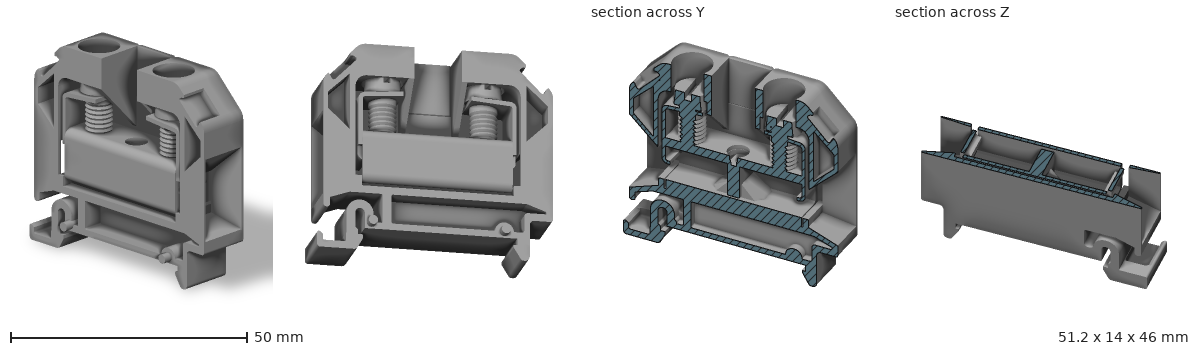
import cadquery as cq
import math


overall_length = 51.2
half_width = 24.95
height = 46.0
depth = 12.0
shoulder_z = 37.9
shoulder_radius = 3.0
foot_end_x = half_width - overall_length
foot_top_z = 3.55
foot_lip_width = 1.25
underside_z = 12.7
beam_bottom_z = 4.8
leg_inner_x = 23.45
leg_bottom_z = 9.05
slope_end_z = 11.2
slope_start_x = 19.2
pin_radius = 2.0 / 2
pin_length = 2.0
pin_z = 6.2
pin_xs = (-14.5, 14.4)
base_recess_depth = 4.8
base_recess_floor_z = 6.25
notch_depth = 6.0

hook_x = -16.95
hook_outer_radius = 2.9
hook_inner_radius = 1.0
hook_center_z = 8.2
hook_top_z = hook_center_z + hook_outer_radius
post_x = -12.05

cavity_half_width = 17.9
cavity_top_z = 38.95
ledge_z = 16.6
floor_z = 14.35
floor_half_width = 16.5
cavity_depth = 10.7
gap_half_width = 5.15
gusset_thickness = 1.2
gusset_foot_z = 27.9
panel_bottom_z = 34.55

screw_x = 10.95
screw_y = 5.25
access_radius = 9.0 / 2
thread_radius = 6.0 / 2
thread_pitch = 1.0
thread_groove = 0.35
head_bottom_z = 36.15
head_top_z = 39.95
slot_bottom_z = 38.1
thread_top_z = 33.7

sleeve_half_length = 16.25
sleeve_front_y = 0.2
sleeve_back_y = 10.45
sleeve_top_z = 27.2
bore_front_y = 1.25
bore_back_y = 9.4
bore_floor_z = 16.65
bore_roof_z = 24.95

strip_thickness = 0.9


def rounded_wire(plane, corners):
    """Closed outline from (u, v, radius) corners; every non-zero radius becomes a tangent arc."""
    stretches = []
    for i, (u, v, radius) in enumerate(corners):
        corner = cq.Vector(u, v)
        before = (cq.Vector(*corners[i - 1][:2]) - corner).normalized()
        after = (cq.Vector(*corners[(i + 1) % len(corners)][:2]) - corner).normalized()
        if radius == 0:
            stretches.append((corner, None, corner))
            continue
        half_angle = before.getAngle(after) / 2
        tangent = radius / math.tan(half_angle)
        nearest = radius / math.sin(half_angle) - radius
        middle = corner + (before + after).normalized() * nearest
        stretches.append((corner + before * tangent, middle, corner + after * tangent))

    tolerance = 5.12e-05
    start = stretches[-1][2]
    path = plane.moveTo(start.x, start.y)
    here = start
    for entry, middle, leave in stretches:
        if (entry - here).Length > tolerance:
            path = path.lineTo(entry.x, entry.y)
        if middle is not None:
            path = path.threePointArc((middle.x, middle.y), (leave.x, leave.y))
        here = leave
    return path.close()


def plate(corners, front, back):
    """Rounded XZ outline filled from y = front to y = back."""
    plane = cq.Workplane("XZ", origin=(0, front, 0))
    return rounded_wire(plane, corners).extrude(front - back)


def block(x_range, y_range, z_range):
    """Axis-aligned box between the given limits."""
    lows, highs = zip(x_range, y_range, z_range)
    sizes = [high - low for low, high in zip(lows, highs)]
    return cq.Workplane("XY").box(*sizes, centered=False).translate(lows)


def both_sides(shape):
    """The shape together with its mirror image across x = 0."""
    return shape.union(shape.mirror("YZ"))


def cylinder(x, y, radius, bottom, top):
    """Upright cylinder."""
    return cq.Workplane("XY", origin=(x, y, bottom)).circle(radius).extrude(top - bottom)


def crosswise_pin(x, radius, front, back):
    """Cylinder along Y at pin height from y = front to y = back."""
    return cq.Workplane("XZ", origin=(x, front, pin_z)).circle(radius).extrude(front - back)


def tetrahedron(*corners):
    """Solid with four triangular faces between four corners."""
    faces = []
    for skipped in corners:
        triangle = [corner for corner in corners if corner != skipped]
        faces.append(cq.Face.makeFromWires(cq.Wire.makePolygon(triangle, close=True)))
    return cq.Workplane(cq.Solid.makeSolid(cq.Shell.makeShell(faces)))


def housing_outline():
    """Outer outline of the housing with its rail hook, beam and right leg."""
    roof_x = half_width - (height - shoulder_z)
    right_leg_x = 19.85
    beam_end_x = 17.15
    toe_x = 16.4
    toe_z = 3.4
    hook_web_z = 7.9
    hook_toe_x = -16.3
    hook_neck_x = -17.4
    return [
        (-half_width, shoulder_z, shoulder_radius),
        (-roof_x, height, shoulder_radius),
        (roof_x, height, shoulder_radius),
        (half_width, shoulder_z, shoulder_radius),
        (half_width, leg_bottom_z, 0.6),
        (right_leg_x, leg_bottom_z, 0.95),
        (right_leg_x, 0, 1.0),
        (18.1, 0, 0.8),
        (toe_x, 2.8, 0.25),
        (toe_x, toe_z, 0),
        (beam_end_x, toe_z, 0),
        (beam_end_x, beam_bottom_z, 0),
        (hook_x + hook_inner_radius, beam_bottom_z, 0),
        (hook_x + hook_inner_radius, hook_center_z + hook_inner_radius, hook_inner_radius),
        (hook_x - hook_inner_radius, hook_center_z + hook_inner_radius, hook_inner_radius),
        (hook_x - hook_inner_radius, 4.9, 0.25),
        (hook_neck_x, 4.45, 0.15),
        (hook_neck_x, toe_z, 0),
        (hook_toe_x, toe_z, 0),
        (hook_toe_x, 2.55, 0.25),
        (-17.7, 0, 1.0),
        (foot_end_x, 0, 0.6),
        (foot_end_x, foot_top_z, 0.4),
        (hook_x - hook_outer_radius, foot_top_z, 0),
        (hook_x - hook_outer_radius, hook_top_z, hook_outer_radius),
        (hook_x + hook_outer_radius, hook_top_z, hook_outer_radius),
        (hook_x + hook_outer_radius, hook_web_z, 0.75),
        (post_x, hook_web_z, 0.75),
        (post_x, underside_z, 0.3),
        (-slope_start_x, underside_z, 0),
        (-leg_inner_x, slope_end_z, 0.2),
        (-leg_inner_x, leg_bottom_z, 0.65),
        (-half_width, leg_bottom_z, 0.65),
    ]


def cavity():
    """Front cavity holding the metal parts, and the gap between the two screw towers."""
    room = plate(
        [
            (-cavity_half_width, ledge_z, 0),
            (-cavity_half_width, cavity_top_z, 2.5),
            (cavity_half_width, cavity_top_z, 2.5),
            (cavity_half_width, ledge_z, 0),
            (floor_half_width, ledge_z, 0),
            (floor_half_width, floor_z, 0),
            (-floor_half_width, floor_z, 0),
            (-floor_half_width, ledge_z, 0),
        ],
        0,
        cavity_depth,
    )
    gap = block((-gap_half_width, gap_half_width), (0, cavity_depth), (gusset_foot_z, height))
    return room.cut(both_sides(gusset())).union(gap)


def gusset():
    """Triangular rib carrying the inner side of the right screw tower."""
    corners = [(0, cavity_top_z), (cavity_depth, cavity_top_z), (cavity_depth, gusset_foot_z)]
    plane = cq.Workplane("YZ", origin=(gap_half_width, 0, 0))
    return plane.polyline(corners).close().extrude(gusset_thickness)


def panel_groove():
    """Groove with a slanted inner flank that frames the rear wall panel between the towers."""
    groove_depth = 0.35
    flank_angle = 40
    top = height + 0.5
    back = cavity_depth + groove_depth
    frame = block((-gap_half_width, gap_half_width), (cavity_depth, back), (panel_bottom_z, height))
    panel = (
        cq.Workplane("XZ", origin=(0, back, (panel_bottom_z + top) / 2))
        .rect(2 * gap_half_width, top - panel_bottom_z)
        .extrude(groove_depth, taper=flank_angle)
    )
    return frame.cut(panel)


def rear_groove():
    """Upright V groove in the rear face along the right edge of the panel."""
    center_x = 5.3
    groove_half_width = 0.6
    groove_depth = 0.5
    corners = [
        (center_x - groove_half_width, depth),
        (center_x, depth - groove_depth),
        (center_x + groove_half_width, depth),
    ]
    plane = cq.Workplane("XY", origin=(0, 0, panel_bottom_z))
    return plane.polyline(corners).close().extrude(height - panel_bottom_z)


def wire_funnel():
    """Tapered wire entry from the left outer face into the cavity."""
    throat_y = (0.9, 9.45)
    throat_z = (14.65, 24.05)
    mouth_y = (0.35, 11.45)
    mouth_z = (12.1, 30.6)

    def section(ys, zs):
        return [(ys[0], zs[0]), (ys[1], zs[0]), (ys[1], zs[1]), (ys[0], zs[1])]

    return (
        cq.Workplane("YZ", origin=(-half_width, 0, 0))
        .polyline(section(mouth_y, mouth_z))
        .close()
        .workplane(offset=half_width - cavity_half_width)
        .polyline(section(throat_y, throat_z))
        .close()
        .loft(ruled=True)
    )


def side_window():
    """Blind trapezoid pocket in the front face beside the cavity."""
    outer_x = -23.85
    inner_x = -19.15
    corners = [(inner_x, 39.1, 0), (inner_x, 26.6, 0), (outer_x, 31.1, 0), (outer_x, 34.75, 0)]
    return plate(corners, 0, notch_depth)


def shoulder_notch():
    """Undercut notch in the sloped shoulder; u runs up the slope and w goes into the housing."""
    origin_x = -21.25
    slope = math.sqrt(0.5)
    origin_z = shoulder_z + half_width + origin_x
    profile = [
        (-3.75, -0.5, 0),
        (-3.7, 0.5, 0.25),
        (-4.25, 2.0, 0.5),
        (3.35, 2.0, 0.35),
        (3.1, 0.95, 0.15),
        (2.65, 0.5, 0.15),
        (3.7, -0.5, 0),
    ]
    corners = [
        (origin_x + (u + w) * slope, origin_z + (u - w) * slope, radius) for u, w, radius in profile
    ]
    return plate(corners, 0, notch_depth)


def beam_recess():
    """Front recess of the base beam, kept solid around the right pin."""
    start_x = -10.1
    end_x = 18.7
    shelf_z = 10.7
    recess = plate(
        [
            (start_x, base_recess_floor_z, 0.3),
            (start_x, underside_z, 0.3),
            (slope_start_x, underside_z, 0),
            (leg_inner_x, slope_end_z, 0.15),
            (leg_inner_x, shelf_z, 0),
            (end_x, shelf_z, 0.8),
            (end_x, base_recess_floor_z, 0.5),
        ],
        0,
        base_recess_depth,
    )
    boss_radius = 2.05
    return recess.cut(crosswise_pin(pin_xs[1], boss_radius, 0, base_recess_depth))


def hook_recess():
    """Front recess in the web between the hook and the post."""
    left = hook_x + hook_outer_radius
    top_z = 9.2
    corners = [
        (left, base_recess_floor_z, 0),
        (left, top_z, 0),
        (post_x, top_z, 0),
        (post_x, base_recess_floor_z, 0.3),
    ]
    return plate(corners, 0, base_recess_depth)


def foot_tray():
    """Tray sunk into the top of the left foot, open to the front, with a bevelled outer lip."""
    back = 8.7
    bottom = 1.6
    edge_radius = 0.4
    bevel_width = 0.7
    bevel_drop = 0.6
    lip_x = foot_end_x + foot_lip_width
    inner_x = hook_x - hook_outer_radius - 0.1
    tray = block((lip_x, inner_x), (0, back), (bottom, foot_top_z))
    tray = tray.edges("|Z and >Y").fillet(edge_radius)
    tray = tray.faces("<Z").edges("not <Y").fillet(edge_radius)
    bevel_corners = [
        (lip_x - bevel_width, foot_top_z, 0),
        (lip_x + edge_radius, foot_top_z, 0),
        (lip_x + edge_radius, foot_top_z - bevel_drop, 0),
        (lip_x, foot_top_z - bevel_drop, 0),
    ]
    return tray.union(plate(bevel_corners, 0, back - edge_radius))


def housing():
    """Plastic housing with all its openings and pins."""
    body = plate(housing_outline(), 0, depth)
    body = body.cut(cavity()).cut(panel_groove()).cut(both_sides(rear_groove()))
    for opening in (wire_funnel(), side_window(), shoulder_notch()):
        body = body.cut(opening).cut(opening.mirror("YZ"))
    body = body.cut(both_sides(cylinder(screw_x, screw_y, access_radius, cavity_top_z, height)))
    body = body.cut(beam_recess()).cut(hook_recess()).cut(foot_tray())
    for x in pin_xs:
        body = body.union(crosswise_pin(x, pin_radius, -pin_length, base_recess_depth))
    return body


def sleeve():
    """Conductor sleeve: rounded bar with a wire bore, a centre stop and wire ramps."""
    front_radius = 2.0
    lower_radius = 1.65
    underside_step_z = 15.5
    bore_chamfer = 0.4
    bar = rounded_wire(
        cq.Workplane("YZ", origin=(-sleeve_half_length, 0, 0)),
        [
            (sleeve_front_y, sleeve_top_z, front_radius),
            (sleeve_back_y, sleeve_top_z, 0),
            (sleeve_back_y, floor_z, 0),
            (2.7, floor_z, 0),
            (1.9, underside_step_z, 0),
            (sleeve_front_y, underside_step_z, lower_radius),
        ],
    ).extrude(2 * sleeve_half_length)
    bore = block(
        (-sleeve_half_length, sleeve_half_length),
        (bore_front_y, bore_back_y),
        (bore_floor_z, bore_roof_z),
    )
    bar = bar.cut(bore.edges("|X and <Z").chamfer(bore_chamfer))

    stop_half = 1.5
    stop_front_y = 2.0
    ramp_front_y = 4.0
    stop_bottom_z = 17.0
    stop = block((-stop_half, stop_half), (stop_front_y, bore_back_y), (stop_bottom_z, bore_roof_z))
    ramp_end_x = 6.15
    ramp_top_z = 19.95
    bevel_depth = 1.75
    bevel_length = 1.55
    ramp_corners = [
        (-ramp_end_x, bore_floor_z, 0),
        (-stop_half, ramp_top_z, 0),
        (stop_half, ramp_top_z, 0),
        (ramp_end_x, bore_floor_z, 0),
    ]
    ramp = plate(ramp_corners, ramp_front_y, bore_back_y)
    ramp_bevel = tetrahedron(
        (ramp_end_x, ramp_front_y, bore_floor_z),
        (ramp_end_x, ramp_front_y + bevel_depth, bore_floor_z),
        (ramp_end_x - bevel_length, ramp_front_y, bore_floor_z),
        (stop_half, ramp_front_y, ramp_top_z),
    )
    ramp = ramp.cut(both_sides(ramp_bevel))

    top_hole_radius = 2.45
    top_hole_depth = 1.0
    deep_hole_radius = 2.35
    top_hole = cylinder(0, screw_y, top_hole_radius, sleeve_top_z - top_hole_depth, sleeve_top_z)
    deep_hole = cylinder(0, screw_y, deep_hole_radius, bore_roof_z, sleeve_top_z)
    return bar.cut(top_hole).cut(deep_hole).union(stop).union(ramp)


def screw():
    """Slotted screw on the axis x = 0 with a ring-grooved thread."""
    head_top_radius = 3.75
    head_bottom_radius = 4.05
    core_radius = thread_radius - thread_groove
    grooves = math.ceil((thread_top_z - sleeve_top_z) / thread_pitch)
    thread_end_z = thread_top_z - grooves * thread_pitch
    profile = [(0, thread_end_z), (thread_radius, thread_end_z)]
    for i in range(grooves):
        crest_z = thread_end_z + (i + 1) * thread_pitch
        profile += [(core_radius, crest_z - thread_pitch / 2), (thread_radius, crest_z)]
    profile += [
        (thread_radius, head_bottom_z),
        (head_bottom_radius, head_bottom_z),
        (head_top_radius, head_top_z),
        (0, head_top_z),
    ]
    turned = cq.Workplane("XZ").polyline(profile).close().revolve(360, (0, 0, 0), (0, 1, 0))
    slot_width = 1.6
    slot_angle = 3
    slot_half = 5.1
    slot = block(
        (-slot_width / 2, slot_width / 2), (-slot_half, slot_half), (slot_bottom_z, head_top_z)
    ).rotate((0, 0, 0), (0, 0, 1), slot_angle)
    return turned.cut(slot).translate((0, screw_y, 0))


def clamp_strip():
    """Left bent strip: sloped tab under the screw head, upright, and a tongue bent into the bore."""
    outer_x = -sleeve_half_length - strip_thickness
    tab_end_x = -7.35
    tongue_z = 20.6
    tongue_end_x = -15.1
    step_z = 23.65
    corners = [
        (outer_x, tongue_z, 1.5),
        (outer_x, 35.35, 1.5),
        (tab_end_x, 36.05, 0),
        (tab_end_x, 35.1, 0),
        (outer_x + strip_thickness, 34.4, 0.55),
        (outer_x + strip_thickness, tongue_z + strip_thickness, 0.55),
        (tongue_end_x, tongue_z + strip_thickness, 0),
        (tongue_end_x, tongue_z, 0),
    ]
    wide_y = (0.5, 10.05)
    narrow_y = (1.6, 9.05)
    wide = plate(corners, *wide_y)
    narrow = plate(corners, *narrow_y)
    below = block((outer_x - 0.5, tab_end_x), (0, depth), (0, step_z))
    return wide.cut(below).union(narrow)


result = housing().union(sleeve()).union(both_sides(clamp_strip()))
for side in (-screw_x, screw_x):
    result = result.union(screw().translate((side, 0, 0)))